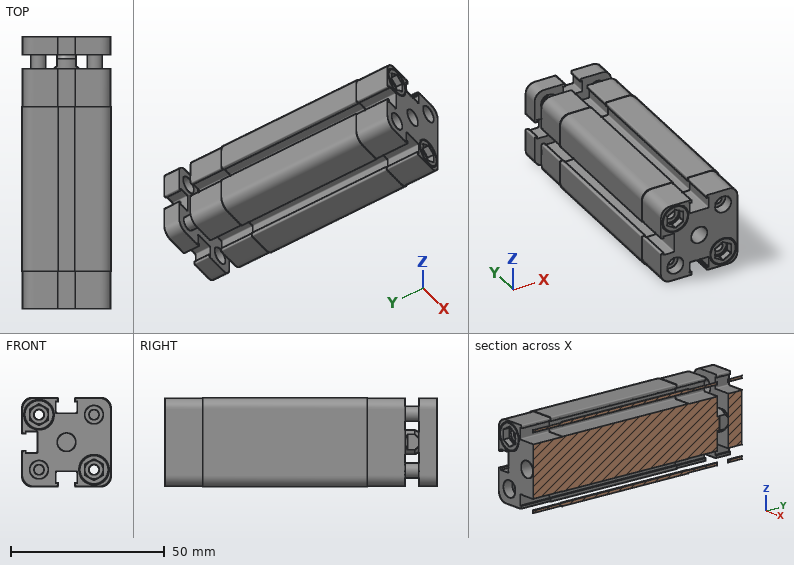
import cadquery as cq
import math

total_length = 88.5
cap_length = 12.3
rod_gap = 4.5
plate_thickness = 5.9
plate_start = total_length - plate_thickness
front_cap_end = plate_start - rod_gap
front_cap_start = front_cap_end - cap_length
tube_length = front_cap_start - cap_length

tube_width = 29.0
cap_inset = 0.2
corner_radius = 3.5

tube_slot_floor = 9.5
tube_slot_half_width = 3.45
cap_slot_setback = 0.1
floor_radius = 0.4
tube_mouth_half_width = 2.7
mouth_radius = 0.4
tube_lip_thickness = 1.3
slot_angles = (0, 90, 180)

corner_offset = 8.9
screw_corners = [(-corner_offset, corner_offset), (corner_offset, -corner_offset)]
port_corners = [(corner_offset, corner_offset), (-corner_offset, -corner_offset)]
bore_diameter = 3.3
recess_diameter = 9.8
head_diameter = 9.2
recess_depth = 4.0
hex_across_flats = 6.0
hex_depth = 2.4
socket_depth = 3.2
hex_turn = 30
port_diameter = 6.0
port_depth = 3.7
port_bore_depth = cap_length
center_hole_diameter = 6.0
center_hole_depth = 8.85
guide_offset = 9.2
guide_corners = [(guide_offset, guide_offset), (-guide_offset, -guide_offset)]
rod_diameter = 5.0
access_diameter = 6.0

piston_diameter = 8.0
piston_tip_diameter = 6.6
piston_taper_length = 1.3
wrench_width = 6.2
wrench_runout = (piston_diameter - wrench_width) / 2


def section(y):
    """XZ sketch plane at y; negative extrusions run toward +Y."""
    return cq.Workplane("XZ", origin=(0, y, 0))


def cylinders(points, diameter, y, length):
    return section(y).pushPoints(points).circle(diameter / 2).extrude(-length)


def slot_cutter(inset, setback, y, length):
    """T-slot on the +Z side; its floor, walls and lips stand back by the setback."""
    face = tube_width / 2 - inset
    slot_floor = tube_slot_floor - setback
    lip = tube_width / 2 - tube_lip_thickness + setback
    slot_half_width = tube_slot_half_width + setback
    mouth_half_width = tube_mouth_half_width + setback
    floor_bulge = floor_radius * math.sqrt(0.5)
    floor_center = (slot_half_width - floor_radius, slot_floor + floor_radius)
    mouth_bulge = mouth_radius * math.sqrt(0.5)
    mouth_center = (mouth_half_width + mouth_radius, face - mouth_radius)
    half = (
        section(y)
        .moveTo(0, slot_floor)
        .lineTo(floor_center[0], slot_floor)
        .threePointArc(
            (floor_center[0] + floor_bulge, floor_center[1] - floor_bulge),
            (slot_half_width, floor_center[1]),
        )
        .lineTo(slot_half_width, lip)
        .lineTo(mouth_half_width, lip)
        .lineTo(mouth_half_width, mouth_center[1])
        .threePointArc(
            (mouth_center[0] - mouth_bulge, mouth_center[1] + mouth_bulge),
            (mouth_center[0], face),
        )
        .lineTo(0, face)
        .close()
        .extrude(-length)
    )
    return half.union(half.mirror("YZ"))


def slotted_block(inset, setback, y, length):
    """Rounded square block with its outer faces set back from the tube faces by the inset."""
    width = tube_width - 2 * inset
    block = section(y).rect(width, width).extrude(-length).edges("|Y").fillet(corner_radius)
    cutter = slot_cutter(inset, setback, y, length)
    for angle in slot_angles:
        block = block.cut(cutter.rotate((0, 0, 0), (0, 1, 0), -angle))
    return block


def piston_rod():
    """Round rod, tapered at the plate, with two wrench flats facing -X and +X."""
    taper_start = plate_start - piston_taper_length
    profile = [
        (0, front_cap_end),
        (piston_diameter / 2, front_cap_end),
        (piston_diameter / 2, taper_start),
        (piston_tip_diameter / 2, plate_start),
        (0, plate_start),
    ]
    rod = cq.Workplane("XY").polyline(profile).close().revolve(360, (0, 0, 0), (0, 1, 0))
    flat_outline = [
        (-piston_diameter / 2, front_cap_end),
        (piston_diameter / 2, front_cap_end),
        (wrench_width / 2, front_cap_end + wrench_runout),
        (wrench_width / 2, plate_start),
        (-wrench_width / 2, plate_start),
        (-wrench_width / 2, front_cap_end + wrench_runout),
    ]
    flats = cq.Workplane("XY").polyline(flat_outline).close().extrude(piston_diameter / 2, both=True)
    return rod.intersect(flats)


def screw_recesses():
    """Ring gaps around the screw heads, with hex sockets that end in a round pilot hole."""
    recesses = cylinders(screw_corners, recess_diameter, 0, recess_depth)
    recesses = recesses.cut(cylinders(screw_corners, head_diameter, 0, recess_depth))
    hex_across_corners = hex_across_flats / math.cos(math.radians(30))
    pilot_hole = section(0).circle(hex_across_flats / 2).extrude(-socket_depth)
    for x, z in screw_corners:
        socket = section(0).polygon(6, hex_across_corners).extrude(-hex_depth)
        socket = socket.rotate((0, 0, 0), (0, 1, 0), hex_turn)
        recesses = recesses.union(socket.union(pilot_hole).translate((x, 0, z)))
    return recesses


body = slotted_block(cap_inset, cap_slot_setback, 0, cap_length)
body = body.union(slotted_block(0, 0, cap_length, tube_length))
body = body.union(slotted_block(cap_inset, cap_slot_setback, front_cap_start, cap_length))
plate = slotted_block(cap_inset, cap_slot_setback, plate_start, plate_thickness)
plate = plate.cut(cylinders(screw_corners, access_diameter, plate_start, plate_thickness))

result = body.union(plate).union(piston_rod())
result = result.union(cylinders(guide_corners, rod_diameter, front_cap_end, rod_gap))

result = result.cut(screw_recesses())
result = result.cut(cylinders(screw_corners, bore_diameter, 0, total_length))
result = result.cut(cylinders(port_corners, port_diameter, 0, port_depth))
result = result.cut(cylinders(port_corners, bore_diameter, 0, port_bore_depth))
result = result.cut(cylinders([(0, 0)], center_hole_diameter, 0, center_hole_depth))